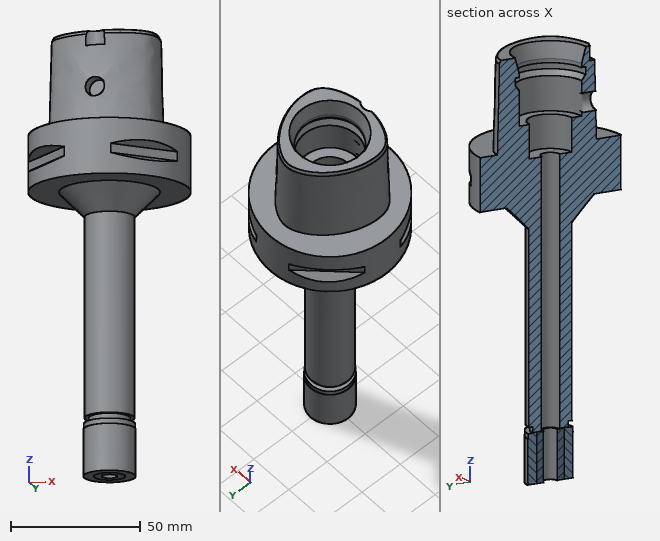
import cadquery as cq
import math

total_length = 173.0
taper_length = 37.9
flange_thickness = 22.1
cone_length = 9.9
shank_end_z = 23.2
nut_length = 20.8
flange_top_z = total_length - taper_length
flange_bottom_z = flange_top_z - flange_thickness
cone_bottom_z = flange_bottom_z - cone_length

polygon_radius = 22.1
lobe_height = 1.5
section_points = 36
taper_slope = 1 / 40
rim_chamfer_height = 1.4
rim_chamfer_inset = 0.7

flange_diameter = 63.0
shank_diameter = 19.4
cone_diameter = shank_diameter + 2 * cone_length
neck_diameter = 16.1

mouth_radius = 15.7
socket_radius = 13.8
mouth_depth = 6.5
groove_radius = 15.5
groove_top_depth = 8.3
groove_bottom_depth = 11.2
groove_chamfer_height = 2.2
socket_depth = 27.7
pilot_radius = 9.3
pilot_depth = 41.5
through_bore_radius = 4.0

side_hole_diameter = 7.6
side_hole_depth = 22.5
side_hole_floor_radius = 14.2
notch_radius = 4.7
notch_back_radius = 17.6
notch_depth = 5.9

slot_count = 4
slot_first_angle = 45.0
slot_flat_radius = 27.9
slot_floor_height = 3.6
slot_side_angle = 30.0
slot_center_depth = 12.1
slot_center_z = flange_top_z - slot_center_depth

nut_diameter = 20.2
nut_band_diameter = 20.0
nut_band_height = 2.0
collet_diameter = 12.1
collet_bore_diameter = 6.0


def lobed_section(z, mean_radius):
    """Closed wire of constant width with three lobes, one lobe pointing to +Y."""
    def point(t):
        support = mean_radius + lobe_height * math.cos(3 * t)
        slope = -3 * lobe_height * math.sin(3 * t)
        along = support * math.cos(t) - slope * math.sin(t)
        across = support * math.sin(t) + slope * math.cos(t)
        return cq.Vector(-across, along, z)

    points = [point(2 * math.pi * i / section_points) for i in range(section_points)]
    return cq.Wire.assembleEdges([cq.Edge.makeSpline(points, periodic=True)])


def make_taper():
    chamfer_z = total_length - rim_chamfer_height
    chamfer_radius = polygon_radius - taper_slope * (chamfer_z - flange_top_z)
    base = lobed_section(flange_top_z, polygon_radius)
    chamfer_start = lobed_section(chamfer_z, chamfer_radius)
    rim = lobed_section(total_length, chamfer_radius - rim_chamfer_inset)
    return cq.Workplane(cq.Solid.makeLoft([base, chamfer_start, rim], True))


def make_turned_body():
    profile = [
        (0, nut_length),
        (neck_diameter / 2, nut_length),
        (neck_diameter / 2, shank_end_z),
        (shank_diameter / 2, shank_end_z),
        (shank_diameter / 2, cone_bottom_z),
        (cone_diameter / 2, flange_bottom_z),
        (flange_diameter / 2, flange_bottom_z),
        (flange_diameter / 2, flange_top_z),
        (0, flange_top_z),
    ]
    return cq.Workplane("XZ").polyline(profile).close().revolve(360, (0, 0), (0, 1))


def make_socket():
    """Stepped cavity: tapered mouth, grooved socket, pilot hole and through bore."""
    profile = [
        (0, total_length),
        (mouth_radius, total_length),
        (socket_radius, total_length - mouth_depth),
        (socket_radius, total_length - groove_top_depth),
        (groove_radius, total_length - groove_top_depth),
        (groove_radius, total_length - groove_bottom_depth),
        (socket_radius, total_length - groove_bottom_depth - groove_chamfer_height),
        (socket_radius, total_length - socket_depth),
        (pilot_radius, total_length - socket_depth),
        (pilot_radius, total_length - pilot_depth),
        (through_bore_radius, total_length - pilot_depth),
        (through_bore_radius, nut_length),
        (0, nut_length),
    ]
    return cq.Workplane("XZ").polyline(profile).close().revolve(360, (0, 0), (0, 1))


def make_side_hole():
    hole_z = total_length - side_hole_depth
    return (
        cq.Workplane("XZ", origin=(0, -side_hole_floor_radius, hole_z))
        .circle(side_hole_diameter / 2)
        .extrude(polygon_radius)
    )


def make_notch():
    """Upright slot in the rim with a rounded back, open to -Y."""
    arc_center_y = -notch_back_radius - notch_radius
    return (
        cq.Workplane("XY", origin=(0, 0, total_length - notch_depth))
        .moveTo(-notch_radius, -flange_diameter / 2)
        .lineTo(-notch_radius, arc_center_y)
        .threePointArc((0, -notch_back_radius), (notch_radius, arc_center_y))
        .lineTo(notch_radius, -flange_diameter / 2)
        .close()
        .extrude(notch_depth)
    )


def make_gripper_slot(angle):
    """Straight V-sided slot with a flat floor, cut across the flange rim."""
    outer_radius = flange_diameter / 2
    half_floor = slot_floor_height / 2
    rise = (outer_radius - slot_flat_radius) * math.tan(math.radians(slot_side_angle))
    profile = [
        (slot_flat_radius, -half_floor),
        (outer_radius, -half_floor - rise),
        (outer_radius, half_floor + rise),
        (slot_flat_radius, half_floor),
    ]
    return (
        cq.Workplane("XZ", origin=(0, 0, slot_center_z))
        .polyline(profile)
        .close()
        .extrude(outer_radius, both=True)
        .rotate((0, 0, 0), (0, 0, 1), angle)
    )


def make_holder():
    body = make_turned_body().union(make_taper())
    body = body.cut(make_socket()).cut(make_side_hole()).cut(make_notch())
    for index in range(slot_count):
        body = body.cut(make_gripper_slot(slot_first_angle + index * 360 / slot_count))
    return body


def make_nut():
    band_bottom_z = nut_length - nut_band_height
    sleeve = cq.Workplane("XY").circle(nut_diameter / 2).extrude(band_bottom_z)
    band = (
        cq.Workplane("XY", origin=(0, 0, band_bottom_z))
        .circle(nut_band_diameter / 2)
        .extrude(nut_band_height)
    )
    opening = cq.Workplane("XY").circle(collet_diameter / 2).extrude(nut_length)
    return sleeve.union(band).cut(opening)


def make_collet():
    return (
        cq.Workplane("XY")
        .circle(collet_diameter / 2)
        .circle(collet_bore_diameter / 2)
        .extrude(nut_length)
    )


holder = make_holder()
nut = make_nut()
collet = make_collet()

result = cq.Compound.makeCompound([holder.val(), nut.val(), collet.val()])